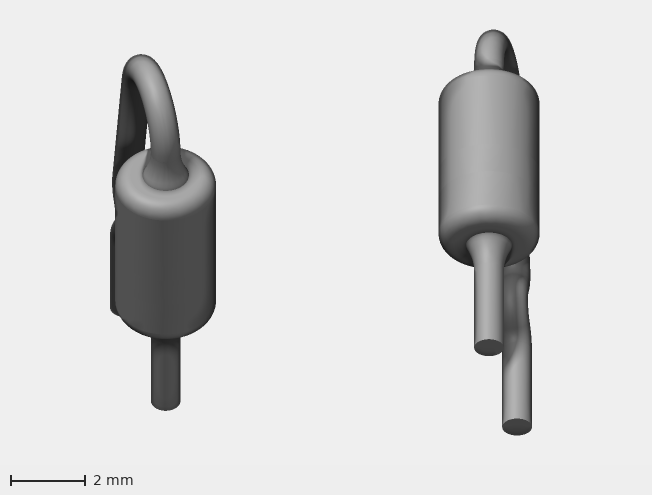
import cadquery as cq
import math

overall_height = 10.9

body_diameter = 2.7
body_bottom = 3.31
body_length = 5.0
body_edge_radius = 0.4
body_radius = body_diameter / 2
body_top = body_bottom + body_length

band_bottom = 4.81
band_width = 0.88
band_depth = 0.05

wire_diameter = 0.8
wire_radius = wire_diameter / 2
leg_x = -3.8
leg_top = 2.5
hook_radius = 1.36
hook_tilt = math.radians(11.2)
slope_end_z = 4.96
kink_radius = 0.88

collar_base_radius = 0.62
collar_height = body_bottom - leg_top


def polar(center, radius, angle):
    """Point in the XZ plane at an angle from +X."""
    return (center[0] + radius * math.cos(angle), center[1] + radius * math.sin(angle))


def direction(start, end):
    """Angle from +X of the line between two XZ points."""
    return math.atan2(end[1] - start[1], end[0] - start[0])


def ring(outer_radius, inner_radius, bottom, height):
    """Upright tube centred on the body axis."""
    return (
        cq.Workplane("XY", origin=(0, 0, bottom))
        .circle(outer_radius)
        .circle(inner_radius)
        .extrude(height)
    )


def make_band():
    return ring(body_radius, body_radius - band_depth, band_bottom, band_width)


def make_housing(band):
    """Rounded cylinder with a bore for the wire and a groove for the band."""
    cylinder = cq.Workplane("XY", origin=(0, 0, body_bottom)).circle(body_radius).extrude(body_length)
    rounded = cylinder.edges().fillet(body_edge_radius)
    bore = cq.Workplane("XY", origin=(0, 0, body_bottom)).circle(wire_radius).extrude(body_length)
    return rounded.cut(bore).cut(band)


def make_wire_path():
    """Centreline: straight through the housing, over the hook, down the slope and through the kink."""
    hook_center = (-hook_radius, overall_height - wire_radius - hook_radius)
    hook_start = (0, hook_center[1])
    hook_crown = polar(hook_center, hook_radius, math.pi / 2)
    hook_end = polar(hook_center, hook_radius, math.pi - hook_tilt)
    slope_end = (hook_end[0] - (hook_end[1] - slope_end_z) * math.tan(hook_tilt), slope_end_z)

    upper_center = polar(slope_end, kink_radius, -hook_tilt)
    lower_center = (leg_x + kink_radius, leg_top)
    half_span = math.dist(upper_center, lower_center) / 2
    upper_to_lower = direction(upper_center, lower_center)
    upper_to_middle = upper_to_lower - math.acos(half_span / (2 * kink_radius))
    middle_center = polar(upper_center, 2 * kink_radius, upper_to_middle)
    lower_to_middle = direction(lower_center, middle_center)

    upper_joint = polar(upper_center, kink_radius, upper_to_middle)
    lower_joint = polar(lower_center, kink_radius, lower_to_middle)
    upper_mid = polar(upper_center, kink_radius, math.pi)
    middle_mid = polar(middle_center, kink_radius, 0)
    lower_mid = polar(lower_center, kink_radius, (math.pi + lower_to_middle) / 2)

    return (
        cq.Workplane("XZ")
        .moveTo(0, 0)
        .lineTo(*hook_start)
        .threePointArc(hook_crown, hook_end)
        .lineTo(*slope_end)
        .threePointArc(upper_mid, upper_joint)
        .threePointArc(middle_mid, lower_joint)
        .threePointArc(lower_mid, (leg_x, leg_top))
        .lineTo(leg_x, 0)
    )


def make_collar(base_z, outward):
    """Flare from the wire diameter out to the housing face; outward is +1 upward or -1 downward."""
    tip_z = base_z + outward * collar_height
    flare = collar_base_radius - wire_radius
    arc_radius = (flare**2 + collar_height**2) / (2 * flare)
    half_angle = math.asin(collar_height / arc_radius) / 2
    arc_middle = (
        wire_radius + arc_radius * (1 - math.cos(half_angle)),
        tip_z - outward * arc_radius * math.sin(half_angle),
    )
    return (
        cq.Workplane("XZ")
        .moveTo(0, base_z)
        .lineTo(0, tip_z)
        .lineTo(wire_radius, tip_z)
        .threePointArc(arc_middle, (collar_base_radius, base_z))
        .close()
        .revolve(360, (0, 0, 0), (0, 1, 0))
    )


def make_lead():
    wire = cq.Workplane("XY").circle(wire_radius).sweep(make_wire_path())
    return wire.union(make_collar(body_top, 1)).union(make_collar(body_bottom, -1))


band = make_band()
housing = make_housing(band)
lead = make_lead()

result = cq.Compound.makeCompound([housing.val(), band.val(), lead.val()])